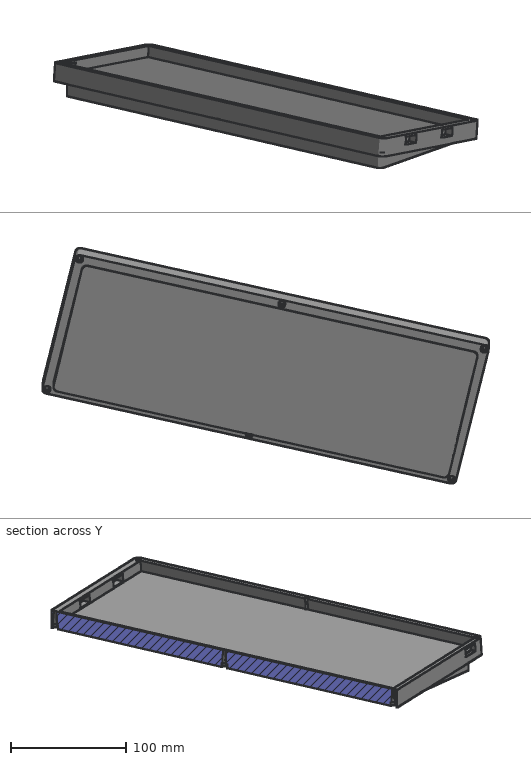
import cadquery as cq
import math

LENGTH = 369.0
TRAY_WIDTH = 134.0
TRAY_HEIGHT = 16.2
TILT = 6.0
CORNER_RADIUS = 4.5

FLOOR_THICKNESS = 6.3
WALL_LEFT = 4.8
WALL_RIGHT = 7.7
WALL_FRONT = 5.0
WALL_BACK = 6.5

HOLE_DIAMETER = 3.4
COUNTERBORE_DIAMETER = 6.0
COUNTERBORE_DEPTH = 3.5
HOLE_END_EDGE = 4.0
HOLE_SIDE_EDGE = 4.0

PORT_WIDTH = 14.5
PORT_HEIGHT = 7.0
PORT_SILL = 0.7
LEFT_PORT_Y = 19.0
RIGHT_PORTS_Y = (39.0, 89.3)

FOOT_INSET = 8.0


def make_tray():
    """Open tray lying flat, with its lower left front corner at the origin."""
    outer = cq.Workplane("XY").box(LENGTH, TRAY_WIDTH, TRAY_HEIGHT, centered=False)
    outer = outer.edges("|Z").fillet(CORNER_RADIUS)
    recess = cq.Workplane("XY").box(
        LENGTH - WALL_LEFT - WALL_RIGHT,
        TRAY_WIDTH - WALL_FRONT - WALL_BACK,
        TRAY_HEIGHT,
        centered=False,
    )
    return outer.cut(recess.translate((WALL_LEFT, WALL_FRONT, FLOOR_THICKNESS)))


def make_port(x_start, wall, y_center):
    """Rectangular opening through one end wall, just above the tray floor."""
    port = cq.Workplane("XY").box(wall, PORT_WIDTH, PORT_HEIGHT, centered=(False, True, False))
    return port.translate((x_start, y_center, FLOOR_THICKNESS + PORT_SILL))


def make_screw_holes():
    """Counterbored holes along the front and back walls, entered from below."""
    first_x = HOLE_END_EDGE
    last_x = LENGTH - HOLE_END_EDGE
    points = [
        (x, y)
        for x in (first_x, (first_x + last_x) / 2, last_x)
        for y in (HOLE_SIDE_EDGE, TRAY_WIDTH - HOLE_SIDE_EDGE)
    ]
    plane = cq.Workplane("XY").pushPoints(points)
    shafts = plane.circle(HOLE_DIAMETER / 2).extrude(TRAY_HEIGHT)
    counterbores = plane.circle(COUNTERBORE_DIAMETER / 2).extrude(COUNTERBORE_DEPTH)
    return shafts.union(counterbores)


def tilt(body):
    """Tilt about the lower back edge, which comes to rest on the Z = 0 plane at Y = 0."""
    return body.translate((0, -TRAY_WIDTH, 0)).rotate((0, 0, 0), (1, 0, 0), -TILT)


def make_foot():
    """Upright wedge filling the space between the tilted tray and the ground."""
    angle = math.radians(TILT)
    front_y = -TRAY_WIDTH * math.cos(angle) + FOOT_INSET
    back_y = -FOOT_INSET
    block = cq.Workplane("XY").box(
        LENGTH - 2 * FOOT_INSET, back_y - front_y, TRAY_WIDTH * math.sin(angle), centered=False
    )
    block = block.edges("|Z").fillet(CORNER_RADIUS).translate((FOOT_INSET, front_y, 0))
    above_tray_underside = tilt(cq.Workplane("XY").box(LENGTH, TRAY_WIDTH, TRAY_HEIGHT, centered=False))
    return block.cut(above_tray_underside)


tray = make_tray().cut(make_screw_holes())
tray = tray.cut(make_port(0, WALL_LEFT, LEFT_PORT_Y))
for port_y in RIGHT_PORTS_Y:
    tray = tray.cut(make_port(LENGTH - WALL_RIGHT, WALL_RIGHT, port_y))

result = tilt(tray).union(make_foot())